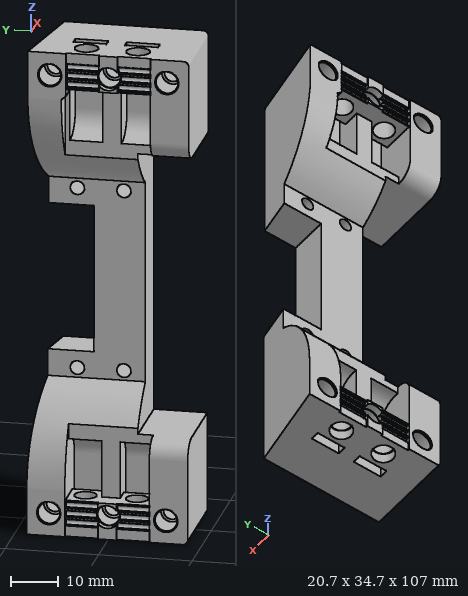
import cadquery as cq
import math

height = 107.0
depth = 20.7

block_width = 34.5
block_height = 22.5
block_center = block_width / 2
lower_block_shift = 0.2
side_slant = 3.6
waste_margin = 5.4
edge_radius = 1.1
nose_radius = 4.0

strip_front = 11.8
strip_edge = 11.7
strip_narrow_edge = 22.7
tab_end = 37.3
strip_hole_diameter = 3.0
strip_hole_inset = 33.6
strip_holes_y = (16.3, 26.2)

brace_start = 10.3
brace_end = 31.5
brace_run = brace_end - brace_start
brace_radius = (brace_run**2 + strip_front**2) / (2 * strip_front)

recess_depth = 4.0
pad_end = 8.0
pad_depth = 0.4
relief_width = 1.0
relief_start = 9.4
pocket_width = 7.1
pocket_pitch = 11.0
recess_start_y = block_center - (pocket_pitch + pocket_width) / 2
recess_end_y = block_width - recess_start_y
pocket_back = 10.0
pocket_end = 20.4
pocket_floor_radius = 4.9
slot_width = 2.0
wire_hole_diameter = 4.7
wire_mouth_diameter = 5.0
wire_mouth_depth = 2.6
wire_hole_x = 4.4

screw_inset = 5.0
screw_pitch = 12.5
screw_diameter = 3.5
screw_depth = 12.8
insert_diameter = 4.7
insert_depth = 6.4
mouth_diameter = 5.0
side_mouth_depth = 0.4
middle_mouth_depth = 1.7

groove_pitch = 1.9
groove_radius = 0.5
groove_step_width = 1.5
groove_step_depth = 0.4

pocket_centers = [block_center + side * pocket_pitch / 2 for side in (-1, 1)]


def box(x_range, y_range, z_range):
    """Box spanning the three given ranges."""
    size = [high - low for low, high in (x_range, y_range, z_range)]
    corner = (x_range[0], y_range[0], z_range[0])
    return cq.Workplane("XY").box(*size, centered=False).translate(corner)


def profile_along_y(profile, y_start, y_end):
    """Extrude a closed XZ profile from y_start to y_end."""
    return profile.extrude(y_start - y_end).translate((0, y_start, 0))


def stepped_hole(plane, steps):
    """Coaxial hole cutter; each step is a diameter and the depth it reaches below the plane."""
    cutter = None
    for diameter, reach in steps:
        cylinder = plane.circle(diameter / 2).extrude(reach)
        cutter = cutter.union(cylinder) if cutter else cylinder
    return cutter


def brace(inner_edge):
    """Cylindrical brace running from the clamping face back to the strip."""
    middle = math.asin(brace_run / brace_radius) / 2
    middle_point = (
        brace_radius * (1 - math.cos(middle)),
        brace_start + brace_radius * math.sin(middle),
    )
    profile = (
        cq.Workplane("XZ")
        .lineTo(0, brace_start)
        .threePointArc(middle_point, (strip_front, brace_end))
        .lineTo(depth, brace_end)
        .lineTo(depth, 0)
        .close()
    )
    return profile_along_y(profile, inner_edge, block_width)


def nose():
    """Narrow side of the block, with a rounded inner front edge."""
    body = box((0, depth), (0, recess_start_y), (0, block_height))
    return body.edges("|Y and <X and >Z").fillet(nose_radius)


def recess(has_relief):
    """Recess in front of the pockets; the relief widens it behind a small bevel."""
    outline = cq.Workplane("YZ").moveTo(recess_start_y, pad_end).lineTo(recess_end_y, pad_end)
    if has_relief:
        outline = (
            outline.lineTo(recess_end_y, relief_start)
            .lineTo(recess_end_y + relief_width, brace_start)
            .lineTo(recess_end_y + relief_width, brace_end)
        )
    else:
        outline = outline.lineTo(recess_end_y, brace_end)
    return outline.lineTo(recess_start_y, brace_end).close().extrude(recess_depth)


def pocket(center_y):
    """Pocket with a rounded floor, a slot and a wire hole through the block's outer end, and the pad."""
    sides = (center_y - pocket_width / 2, center_y + pocket_width / 2)
    cavity = box((0, pocket_back), sides, (pad_end, pocket_end))
    cavity = cavity.edges("|Y and >X and >Z").fillet(pocket_floor_radius)
    slot = box((pocket_back - slot_width, pocket_back), sides, (0, pad_end))
    wire_hole = stepped_hole(
        cq.Workplane("XY").center(wire_hole_x, center_y),
        [(wire_mouth_diameter, wire_mouth_depth), (wire_hole_diameter, pad_end)],
    )
    pad = box((0, pad_depth), sides, (0, pad_end))
    cutter = cavity.union(slot).union(wire_hole).union(pad)
    for step in (-1, 0, 1):
        cutter = cutter.union(groove(sides, screw_inset + step * groove_pitch))
    return cutter


def groove(sides, center_z):
    """Half-round groove along Y, sunk in a shallow step of the pad."""
    half_step = groove_step_width / 2
    floor_x = pad_depth + groove_step_depth
    step = box((pad_depth, floor_x), sides, (center_z - half_step, center_z + half_step))
    round_part = cq.Workplane("XZ").center(floor_x, center_z).circle(groove_radius)
    return step.union(profile_along_y(round_part, *sides))


def screw_hole(center_y, mouth_depth):
    """Blind hole in the clamping face, with an insert seat and a slightly wider mouth."""
    return stepped_hole(
        cq.Workplane("YZ").center(center_y, screw_inset),
        [
            (mouth_diameter, mouth_depth),
            (insert_diameter, insert_depth),
            (screw_diameter, screw_depth),
        ],
    )


def tab():
    """Drilled end of the strip, at its full width."""
    plate = box((strip_front, depth), (strip_edge, block_width), (0, tab_end))
    holes = (
        cq.Workplane("YZ")
        .pushPoints([(y, strip_hole_inset) for y in strip_holes_y])
        .circle(strip_hole_diameter / 2)
        .extrude(depth)
    )
    return plate.cut(holes)


def slanted_waste():
    """Wedge that slants the wide side of a block."""
    return (
        cq.Workplane("XY")
        .moveTo(0, block_width)
        .lineTo(depth, block_width - side_slant)
        .lineTo(depth, block_width + waste_margin)
        .lineTo(0, block_width + waste_margin)
        .close()
        .extrude(height)
    )


def end_block(has_relief, inner_edge):
    """End block with its brace, outer end at Z = 0."""
    body = box((0, depth), (0, block_width), (0, brace_start))
    body = body.union(box((recess_depth, depth), (0, inner_edge), (0, block_height)))
    body = body.union(brace(inner_edge)).union(nose())
    body = body.edges("|X and <Y and <Z").fillet(edge_radius)
    body = body.cut(recess(has_relief))
    for center_y in pocket_centers:
        body = body.cut(pocket(center_y))
    for side in (-1, 1):
        body = body.cut(screw_hole(block_center + side * screw_pitch, side_mouth_depth))
    body = body.cut(screw_hole(block_center, middle_mouth_depth))
    return body


def end_section(has_relief, shift):
    """Block and tab, with the wide side slanted; the block is offset along Y by the shift."""
    section = end_block(has_relief, strip_edge - shift).translate((0, shift, 0)).union(tab())
    return section.cut(slanted_waste().translate((0, shift, 0)))


lower = end_section(False, lower_block_shift)
upper = end_section(True, 0).mirror("XY").translate((0, 0, height))
strip = box((strip_front, depth), (strip_edge, strip_narrow_edge), (tab_end, height - tab_end))
result = strip.union(lower).union(upper)